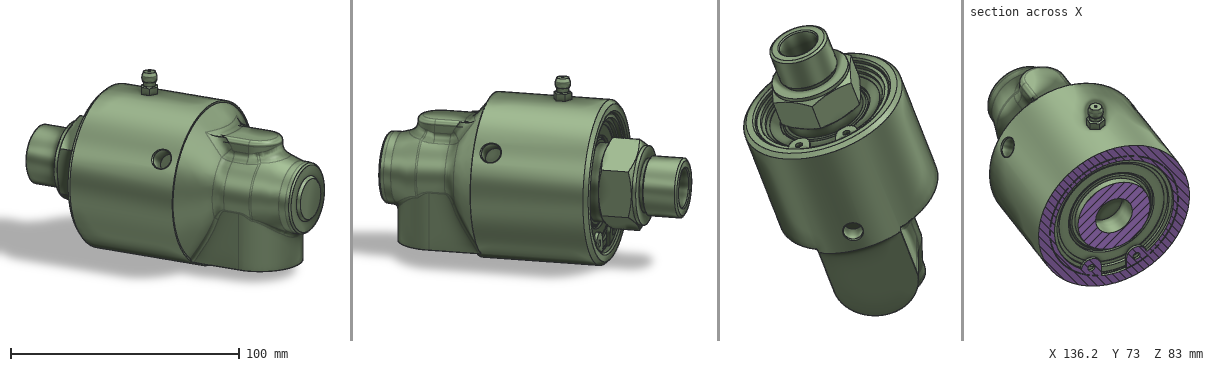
import cadquery as cq
import math


rotor_bore_dia = 17.5
rotor_bore_chamfer = 0.5
thread_dia = 26.4
thread_end_x = 15.0
thread_chamfer_length = 0.8
relief_dia = 24.1
relief_start_x = 15.7
flange_dia = 35.0
flange_start_x = 17.2
hex_start_x = 18.8
hex_end_x = 34.2
hex_across_flats = 35.8
hex_chamfer_length = 1.6
collar_dia = 34.9
shoulder_dia = 39.1
shoulder_start_x = 39.1
shoulder_bevel_dia = 37.6
shoulder_bevel_length = 0.4
rotor_end_x = 46.3

body_dia = 73.0
body_front_x = 33.9
body_end_x = 87.2
body_chamfer_length = 1.9
body_chamfer_depth = 1.8
cone_start_radius = 35.7
cone_slope = 1.18
nose_root_x = 80.4
neck_radius = 19.6
neck_fillet = 6.0
neck_end_x = 116.7
neck_end_fillet = 3.0
tip_start_x = 129.1
tip_bevel_x = 132.4
tip_step_x = 134.0
tip_face_x = 134.8
tip_radius = 16.0
tip_bevel_radius = 15.8
tip_face_radius = 15.0
plug_base_radius = 10.2
plug_end_radius = 9.1
plug_end_x = 136.2

mouth_radius = 31.7
recess_radius = 30.9
ring_seat_x = 37.0
ring_groove_inner_radius = 29.8
ring_groove_outer_radius = 30.6
ring_groove_depth = 0.8
cover_radius = 27.0
cover_x = 38.4
cover_disc_radius = 25.3
cover_disc_x = 38.8
seal_gap_dia = 41.3
seal_gap_end_x = 40.2

ring_thickness = 1.6
ring_inner_radius = 28.6
ring_bevel = 0.7
ring_gap_half_width = 6.0
ear_offset_y = 10.9
ear_offset_z = -24.8
ear_radius = ear_offset_y - ring_gap_half_width
ear_hole_dia = 3.1

port_x = 110.7
port_boss_radius = 18.9
port_face_z = -31.3
boss_fillet = 2.0
skirt_end_x = 89.1
pad_radius = 10.1
pad_top_z = 25.3
pad_edge_fillet = 2.2
pad_base_fillet = 5.5

radial_hole_dia = 8.6
radial_hole_depth = 8.0
radial_hole_chamfer = 0.5
radial_hole_x = 79.1
radial_hole_angles = (30, 150, 270)

nipple_x = 55.3
nipple_root_depth = 1.4
nipple_across_flats = 7.1
nipple_hex_top_z = 39.9
nipple_hex_chamfer_radius = 2.9
nipple_hex_chamfer_drop = 0.5
nipple_neck_dia = 5.3
nipple_neck_radius = nipple_neck_dia / 2
nipple_neck_top_z = 41.8
nipple_head_radius = 3.4
nipple_head_base_radius = 3.0
nipple_head_widest_z = 43.3
nipple_head_rim_radius = 3.3
nipple_head_rim_z = 44.5
nipple_head_top_z = 46.2
nipple_tip_radius = 0.5
nipple_tip_z = 46.5

SEAM_SAMPLES = (0.15, 0.5, 0.85)
SEAM_TOLERANCE = 0.001


def turned(points):
    """Solid turned about the X axis from (x, radius) points."""
    return cq.Workplane("XY").polyline(points).close().revolve(360, (0, 0, 0), (1, 0, 0))


def rod(dia, start_x, end_x):
    return turned([(start_x, 0), (start_x, dia / 2), (end_x, dia / 2), (end_x, 0)])


def slot_column(radius, start_x, low_z, high_z):
    """Upright column, round about the port axis and straight-sided towards -X."""
    return (
        cq.Workplane("XY", origin=(0, 0, low_z))
        .moveTo(start_x, -radius)
        .lineTo(port_x, -radius)
        .threePointArc((port_x + radius, 0), (port_x, radius))
        .lineTo(start_x, radius)
        .close()
        .extrude(high_z - low_z)
    )


def make_rotor_hex():
    corner_radius = hex_across_flats / math.sqrt(3)
    prism = (
        cq.Workplane("YZ", origin=(hex_start_x, 0, 0))
        .polygon(6, 2 * corner_radius)
        .extrude(hex_end_x - hex_start_x)
        .rotate((0, 0, 0), (1, 0, 0), 90)
    )
    chamfer_envelope = turned([
        (hex_start_x, 0),
        (hex_start_x, flange_dia / 2),
        (hex_start_x + hex_chamfer_length, corner_radius),
        (hex_end_x - hex_chamfer_length, corner_radius),
        (hex_end_x, flange_dia / 2),
        (hex_end_x, 0),
    ])
    return prism.intersect(chamfer_envelope)


def make_rotor():
    spindle = turned([
        (0, 0),
        (0, relief_dia / 2),
        (thread_chamfer_length, thread_dia / 2),
        (thread_end_x, thread_dia / 2),
        (relief_start_x, relief_dia / 2),
        (flange_start_x, relief_dia / 2),
        (flange_start_x, flange_dia / 2),
        (hex_end_x, flange_dia / 2),
        (hex_end_x, collar_dia / 2),
        (shoulder_start_x, collar_dia / 2),
        (shoulder_start_x, shoulder_bevel_dia / 2),
        (shoulder_start_x + shoulder_bevel_length, shoulder_dia / 2),
        (rotor_end_x, shoulder_dia / 2),
        (rotor_end_x, 0),
    ])
    bore_radius = rotor_bore_dia / 2
    bore = turned([
        (0, 0),
        (0, bore_radius + rotor_bore_chamfer),
        (rotor_bore_chamfer, bore_radius),
        (rotor_end_x, bore_radius),
        (rotor_end_x, 0),
    ])
    return spindle.union(make_rotor_hex()).cut(bore)


def make_barrel():
    body_radius = body_dia / 2
    return turned([
        (body_front_x, 0),
        (body_front_x, body_radius - body_chamfer_depth),
        (body_front_x + body_chamfer_length, body_radius),
        (body_end_x, body_radius),
        (body_end_x, 0),
    ])


def make_nose():
    """Cone, neck and tip, with a tangent fillet between the cone and the neck."""
    cone_angle = math.atan(cone_slope)
    root_radius = cone_start_radius + cone_slope * (body_end_x - nose_root_x)
    corner_x = body_end_x + (cone_start_radius - neck_radius) / cone_slope
    centre_x = corner_x + neck_fillet * math.tan(cone_angle / 2)
    centre_radius = neck_radius + neck_fillet

    def fillet_point(angle):
        return (centre_x - neck_fillet * math.sin(angle), centre_radius - neck_fillet * math.cos(angle))

    nose = (
        cq.Workplane("XY")
        .moveTo(nose_root_x, 0)
        .lineTo(nose_root_x, root_radius)
        .lineTo(*fillet_point(cone_angle))
        .threePointArc(fillet_point(cone_angle / 2), fillet_point(0))
        .lineTo(neck_end_x, neck_radius)
        .lineTo(tip_start_x, tip_radius)
        .lineTo(tip_bevel_x, tip_radius)
        .lineTo(tip_step_x, tip_bevel_radius)
        .lineTo(tip_face_x, tip_face_radius)
        .lineTo(tip_face_x, plug_base_radius)
        .lineTo(plug_end_x, plug_end_radius)
        .lineTo(plug_end_x, 0)
        .close()
        .revolve(360, (0, 0, 0), (1, 0, 0))
    )
    neck_end = cq.selectors.BoxSelector(
        (neck_end_x - SEAM_TOLERANCE, -body_dia, -body_dia),
        (neck_end_x + SEAM_TOLERANCE, body_dia, body_dia),
        boundingbox=True,
    )
    return nose.edges(neck_end).fillet(neck_end_fillet)


def join_with_fillet(base, column, radius):
    """Union with a fillet along the seam beyond the barrel end and above the port face."""
    joined = base.union(column)
    base_skin = base.val().Shells()[0]
    column_skin = column.val().Shells()[0]

    def on_seam(edge):
        samples = [cq.Vertex.makeVertex(*edge.positionAt(t).toTuple()) for t in SEAM_SAMPLES]
        return all(
            base_skin.distance(point) < SEAM_TOLERANCE and column_skin.distance(point) < SEAM_TOLERANCE
            for point in samples
        )

    def above_port_face(edge):
        return edge.BoundingBox().zmax > port_face_z + SEAM_TOLERANCE

    seam = [
        edge for edge in joined.edges().vals()
        if edge.Center().x > body_end_x and above_port_face(edge) and on_seam(edge)
    ]
    return joined.newObject(seam).fillet(radius)


def pad_edge_waste(nose):
    """Material outside the rounded top edge of the pad."""
    pad = slot_column(pad_radius, nose_root_x, 0, pad_top_z)
    rim = [edge for edge in pad.faces(">Z").edges().vals() if edge.Center().x > nose_root_x + SEAM_TOLERANCE]
    return pad.cut(pad.newObject(rim).fillet(pad_edge_fillet)).cut(nose)


def make_front_end():
    """Nose with the pad and the port boss, trimmed at the end of the barrel."""
    nose = make_nose()
    pad = slot_column(pad_radius, nose_root_x, 0, pad_top_z)
    port_boss = slot_column(port_boss_radius, nose_root_x, port_face_z, 0)
    front_end = join_with_fillet(nose, pad, pad_base_fillet).cut(pad_edge_waste(nose))
    front_end = join_with_fillet(front_end, port_boss, boss_fillet)
    return front_end.intersect(rod(body_dia, body_end_x, plug_end_x))


def make_skirt():
    """Short stretch of the barrel wall that carries on past the port face."""
    wall = rod(body_dia, body_end_x, skirt_end_x)
    below_port_face = (
        cq.Workplane("XY", origin=(body_end_x, 0, port_face_z))
        .rect(body_dia, body_dia)
        .extrude(-body_dia)
    )
    return wall.intersect(below_port_face)


def make_recess():
    """Stepped opening around the rotor, with a shallow groove beside the snap ring seat."""
    return turned([
        (body_front_x, 0),
        (body_front_x, mouth_radius),
        (body_front_x + mouth_radius - recess_radius, recess_radius),
        (ring_seat_x, recess_radius),
        (ring_seat_x, ring_groove_outer_radius),
        (ring_seat_x + ring_groove_depth, ring_groove_outer_radius),
        (ring_seat_x, ring_groove_inner_radius),
        (ring_seat_x, cover_radius),
        (cover_x, cover_radius),
        (cover_x, cover_disc_radius),
        (cover_disc_x, cover_disc_radius),
        (cover_disc_x, seal_gap_dia / 2),
        (seal_gap_end_x, seal_gap_dia / 2),
        (seal_gap_end_x, shoulder_dia / 2),
        (rotor_end_x, shoulder_dia / 2),
        (rotor_end_x, 0),
    ])


def make_snap_ring():
    """Open ring with two pierced ears at the bottom of the recess."""
    front_x = ring_seat_x - ring_thickness
    ring_envelope = turned([
        (front_x, 0),
        (front_x, recess_radius - ring_bevel),
        (front_x + ring_bevel, recess_radius),
        (ring_seat_x, recess_radius),
        (ring_seat_x, 0),
    ])

    def disc(radius, y):
        return (
            cq.Workplane("YZ", origin=(front_x, y, ear_offset_z))
            .circle(radius)
            .extrude(ring_thickness)
        )

    def bar_below(half_width, y, top_z):
        return (
            cq.Workplane("YZ", origin=(front_x, y, top_z))
            .rect(2 * half_width, body_dia)
            .extrude(ring_thickness)
            .translate((0, 0, -body_dia / 2))
        )

    ring = ring_envelope.cut(rod(2 * ring_inner_radius, front_x, ring_seat_x))
    for y in (-ear_offset_y, ear_offset_y):
        ear = disc(ear_radius, y).union(bar_below(ear_radius, y, ear_offset_z))
        ring = ring.union(ear.intersect(ring_envelope))
        ring = ring.cut(disc(ear_hole_dia / 2, y))
    return ring.cut(bar_below(ring_gap_half_width, 0, 0))


def make_radial_hole(angle):
    """Blind hole with a chamfered mouth; the angle is measured from +Y towards +Z."""
    hole_radius = radial_hole_dia / 2
    mouth_z = body_dia / 2
    drill = (
        cq.Workplane("XY", origin=(radial_hole_x, 0, mouth_z - radial_hole_depth))
        .circle(hole_radius)
        .extrude(2 * radial_hole_depth)
    )
    countersink = cq.Solid.makeCone(
        hole_radius,
        hole_radius + 2 * radial_hole_chamfer,
        2 * radial_hole_chamfer,
        cq.Vector(radial_hole_x, 0, mouth_z - radial_hole_chamfer),
    )
    return drill.union(cq.Workplane(countersink)).rotate((0, 0, 0), (1, 0, 0), angle - 90)


def make_nipple():
    """Hexagon base with a turned neck and head, standing on top of the barrel."""
    corner_radius = nipple_across_flats / math.sqrt(3)
    root_z = body_dia / 2 - nipple_root_depth
    hexagon = (
        cq.Workplane("XY", origin=(nipple_x, 0, root_z))
        .polygon(6, 2 * corner_radius)
        .extrude(nipple_tip_z - root_z)
    )
    envelope = (
        cq.Workplane("XZ", origin=(nipple_x, 0, 0))
        .moveTo(0, root_z)
        .lineTo(corner_radius, root_z)
        .lineTo(corner_radius, nipple_hex_top_z - nipple_hex_chamfer_drop)
        .lineTo(nipple_hex_chamfer_radius, nipple_hex_top_z)
        .lineTo(nipple_neck_radius, nipple_hex_top_z)
        .lineTo(nipple_neck_radius, nipple_neck_top_z)
        .lineTo(nipple_head_base_radius, nipple_neck_top_z)
        .threePointArc(
            (nipple_head_radius, nipple_head_widest_z), (nipple_head_rim_radius, nipple_head_rim_z)
        )
        .lineTo(nipple_neck_radius, nipple_head_top_z)
        .lineTo(nipple_tip_radius, nipple_head_top_z)
        .lineTo(nipple_tip_radius, nipple_tip_z)
        .lineTo(0, nipple_tip_z)
        .close()
        .revolve(360, (0, 0, 0), (0, 1, 0))
    )
    return hexagon.intersect(envelope)


def make_housing():
    housing = make_barrel().union(make_front_end()).union(make_skirt())
    housing = housing.cut(make_recess()).union(make_snap_ring())
    for angle in radial_hole_angles:
        housing = housing.cut(make_radial_hole(angle))
    return housing.union(make_nipple())


rotor = make_rotor()
housing = make_housing()
result = cq.Compound.makeCompound([rotor.val(), housing.val()])